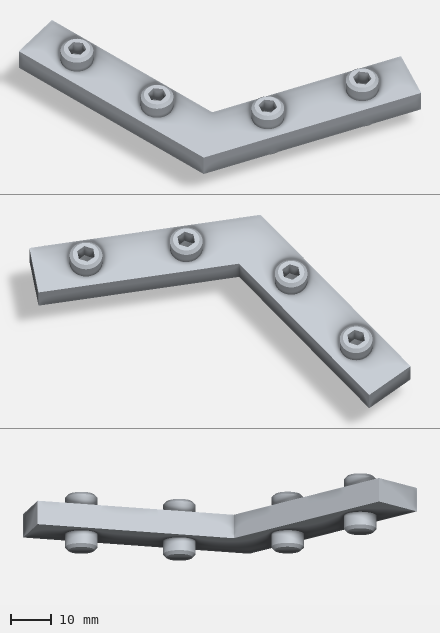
import cadquery as cq
import math

overall_length = 86.4
arm_width = 13.2
plate_thickness = 6.0
arm_angle = math.radians(60)

arm_length = (overall_length - arm_width * math.sin(arm_angle)) / (1 + math.cos(arm_angle))
corner_extension = arm_width * math.tan(arm_angle / 2)

screw_diameter = 8.0
screw_end_diameter = 6.5
screw_length = 14.0
screw_chamfer = (screw_diameter - screw_end_diameter) / 2
screw_spacing = 25.0
screw_end_distance = 13.0

socket_across_flats = 4.0
socket_depth = 4.0
socket_corner_radius = socket_across_flats / math.sqrt(3)
socket_cone_height = socket_corner_radius / math.sqrt(3)

inner_corner = (arm_length, arm_width)


def from_inner_corner(along, outward):
    """Point on the turned arm, measured along its inner edge and towards its outer edge."""
    return (
        inner_corner[0] + along * math.cos(arm_angle) + outward * math.sin(arm_angle),
        inner_corner[1] + along * math.sin(arm_angle) - outward * math.cos(arm_angle),
    )


def screw_positions():
    """Two screws on the centreline of each arm, placed from the free ends."""
    points = []
    for index in range(2):
        distance = screw_end_distance + index * screw_spacing
        points.append((distance, arm_width / 2))
        points.append(from_inner_corner(arm_length - distance, arm_width / 2))
    return points


def make_plate():
    """Bent plate with a through hole for every screw."""
    outline = [
        (0, 0),
        (arm_length + corner_extension, 0),
        from_inner_corner(arm_length, arm_width),
        from_inner_corner(arm_length, 0),
        inner_corner,
        (0, arm_width),
    ]
    plate = cq.Workplane("XY").polyline(outline).close().extrude(plate_thickness / 2, both=True)
    holes = (
        cq.Workplane("XY")
        .pushPoints(screw_positions())
        .circle(screw_diameter / 2)
        .extrude(plate_thickness, both=True)
    )
    return plate.cut(holes)


def make_socket():
    """Hexagonal recess, corners along Y, ending in a cone on the screw axis."""
    top = screw_length / 2
    floor = top - socket_depth
    tip = floor - socket_cone_height
    hexagon = (
        cq.Workplane("XY")
        .workplane(offset=tip)
        .transformed(rotate=(0, 0, 90))
        .polygon(6, 2 * socket_corner_radius)
        .extrude(top - tip)
    )
    pointed_envelope = (
        cq.Workplane("XZ")
        .polyline([(0, tip), (socket_corner_radius, floor), (socket_corner_radius, top), (0, top)])
        .close()
        .revolve(360, (0, 0), (0, 1))
    )
    return hexagon.intersect(pointed_envelope)


def make_screw(position):
    """Headless set screw with both ends chamfered and a socket in the upper end."""
    screw = (
        cq.Workplane("XY")
        .circle(screw_diameter / 2)
        .extrude(screw_length / 2, both=True)
        .faces("|Z")
        .chamfer(screw_chamfer)
        .cut(make_socket())
    )
    return screw.translate((*position, 0))


plate = make_plate()
screws = [make_screw(position) for position in screw_positions()]

result = cq.Compound.makeCompound([plate.val(), *[screw.val() for screw in screws]])